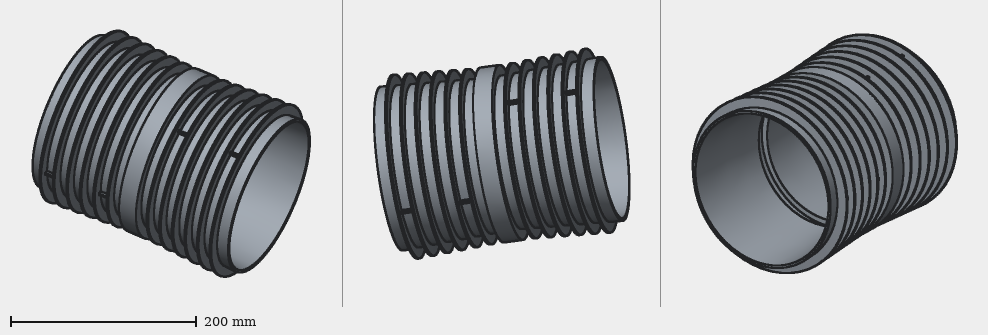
import cadquery as cq
import math

length = 242.0
bore_waist_radius = 80.3
taper_angle = 3.0
wall = 3.0

collar_radius = 190.2 / 2
collar_width = 20.8
groove_radius = 174.2 / 2
groove_width = 16.0

fin_count = 6
inner_fin_x = 24.7
outer_fin_x = 105.3
inner_fin_radius = 95.3
outer_fin_radius = 200.0 / 2
fin_tip_width = 2.2
fin_base_width = 3.9

web_height = 3.6
web_width = 2.5
left_web_angle = 90.0
right_web_angle = 20.0

half_length = length / 2
half_groove = groove_width / 2
taper = math.tan(math.radians(taper_angle))
embed = wall / 2
fin_pitch = (outer_fin_x - inner_fin_x) / (fin_count - 1)
fin_positions = [outer_fin_x - i * fin_pitch for i in range(fin_count)]
webbed_gaps = [(fin_positions[0], fin_positions[1]), (fin_positions[-2], fin_positions[-1])]


def bore_radius(x):
    """Bore radius at position x: narrowest at the groove, opening toward the ends."""
    return bore_waist_radius + taper * max(abs(x) - half_groove, 0)


def outer_radius(x):
    return bore_radius(x) + wall


def fin_radius(x):
    """Tip radius of the fin at position x, growing evenly from inner to outer fin."""
    growth = (outer_fin_radius - inner_fin_radius) / (outer_fin_x - inner_fin_x)
    return inner_fin_radius + growth * (abs(x) - inner_fin_x)


def revolve_about_x(points):
    """Revolve a closed outline of (x, radius) points about the X axis."""
    return cq.Workplane("XY").polyline(points).close().revolve(360, (0, 0, 0), (1, 0, 0))


def make_body():
    """Waisted tube before the bore is cut."""
    return revolve_about_x([
        (-half_length, 0),
        (-half_length, outer_radius(half_length)),
        (-half_groove, outer_radius(half_groove)),
        (half_groove, outer_radius(half_groove)),
        (half_length, outer_radius(half_length)),
        (half_length, 0),
    ])


def make_bore():
    """Solid of the empty inside: two cones and the collar groove between them."""
    return revolve_about_x([
        (-half_length, 0),
        (-half_length, bore_radius(half_length)),
        (-half_groove, bore_waist_radius),
        (-half_groove, groove_radius),
        (half_groove, groove_radius),
        (half_groove, bore_waist_radius),
        (half_length, bore_radius(half_length)),
        (half_length, 0),
    ])


def make_collar():
    half_width = collar_width / 2
    root = bore_waist_radius
    return revolve_about_x([
        (-half_width, root),
        (-half_width, collar_radius),
        (half_width, collar_radius),
        (half_width, root),
    ])


def make_fin(x):
    root = outer_radius(x) - embed
    tip = fin_radius(x)
    return revolve_about_x([
        (x - fin_base_width / 2, root),
        (x - fin_tip_width / 2, tip),
        (x + fin_tip_width / 2, tip),
        (x + fin_base_width / 2, root),
    ])


def make_web(x_start, x_end, angle):
    """Radial web whose top follows the wall taper."""
    web = (
        cq.Workplane("XZ")
        .polyline([
            (x_start, outer_radius(x_start) - embed),
            (x_start, outer_radius(x_start) + web_height),
            (x_end, outer_radius(x_end) + web_height),
            (x_end, outer_radius(x_end) - embed),
        ])
        .close()
        .extrude(web_width / 2, both=True)
    )
    return web.rotate((0, 0, 0), (1, 0, 0), angle)


result = make_body().union(make_collar()).cut(make_bore())
for side, web_angle in ((-1, left_web_angle), (1, right_web_angle)):
    for fin_x in fin_positions:
        result = result.union(make_fin(side * fin_x))
    for gap_outer, gap_inner in webbed_gaps:
        for opposite in (0, 180):
            result = result.union(make_web(side * gap_outer, side * gap_inner, web_angle + opposite))